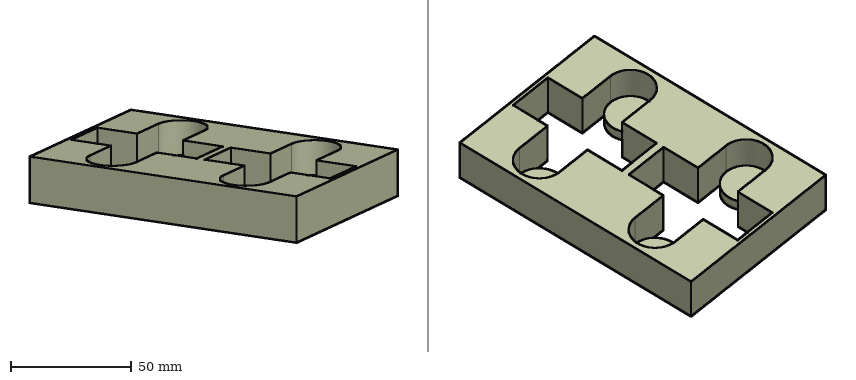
import cadquery as cq

length = 127.7
width = 85.4
height = 20.0

cross_pitch = 63.8
slot_width = 22.0
cross_arm_span = 60.0
round_slot_span = 79.7

floor_thickness = 5.0
floor_offset = (round_slot_span - slot_width) / 2

cross_centers = [(-cross_pitch / 2, 0), (cross_pitch / 2, 0)]
floor_centers = [(x, y) for x, _ in cross_centers for y in (-floor_offset, floor_offset)]


def make_plate():
    return cq.Workplane("XY").box(length, width, height, centered=(True, True, False))


def make_cross_openings():
    base = cq.Workplane("XY").pushPoints(cross_centers)
    square_slots = base.rect(cross_arm_span, slot_width).extrude(height)
    round_slots = base.slot2D(round_slot_span, slot_width, 90).extrude(height)
    return square_slots.union(round_slots)


def make_round_floors():
    return cq.Workplane("XY").pushPoints(floor_centers).circle(slot_width / 2).extrude(floor_thickness)


result = make_plate().cut(make_cross_openings()).union(make_round_floors())